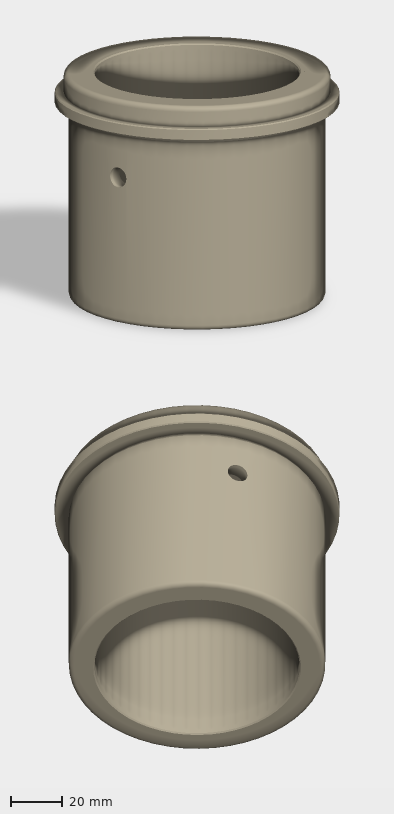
import cadquery as cq

height = 91.0
sleeve_radius = 50.0
collar_radius = 52.0
collar_height = 8.0
collar_edge_radius = 2.0
flange_radius = 55.5
flange_height = 4.75
flange_chamfer = 0.4
foot_edge_radius = 2.0

neck_height = 2.0
neck_angle = 30.0

liner_outer_radius = 42.0
liner_inner_radius = 40.0
liner_chamfer = 0.5

hole_diameter = 8.0
hole_depth = 6.0
hole_z = 59.0

flange_top = height - collar_height
flange_bottom = flange_top - flange_height
neck_bottom = flange_bottom - neck_height


def cylinder(radius, bottom, top):
    return cq.Workplane("XY").workplane(offset=bottom).circle(radius).extrude(top - bottom)


def make_sleeve():
    sleeve = cylinder(sleeve_radius, 0, neck_bottom).edges("<Z").fillet(foot_edge_radius)
    neck = (
        cq.Workplane("XY")
        .workplane(offset=neck_bottom)
        .circle(sleeve_radius)
        .extrude(neck_height, taper=neck_angle)
    )
    return sleeve.union(neck)


def make_radial_hole():
    floor_plane = cq.Workplane("XZ").workplane(offset=sleeve_radius - hole_depth)
    return floor_plane.center(0, hole_z).circle(hole_diameter / 2).extrude(hole_depth)


def make_housing():
    flange = cylinder(flange_radius, flange_bottom, flange_top).edges().chamfer(flange_chamfer)
    collar = cylinder(collar_radius, flange_top, height).edges(">Z").fillet(collar_edge_radius)
    body = make_sleeve().union(flange).union(collar)
    bore = cylinder(liner_outer_radius, 0, height)
    return body.cut(bore).cut(make_radial_hole())


def make_liner():
    tube = cylinder(liner_outer_radius, 0, height).cut(cylinder(liner_inner_radius, 0, height))
    inner_rims = tube.edges(cq.selectors.RadiusNthSelector(0))
    return inner_rims.chamfer(liner_chamfer)


housing = make_housing()
liner = make_liner()
result = cq.Compound.makeCompound([housing.val(), liner.val()])